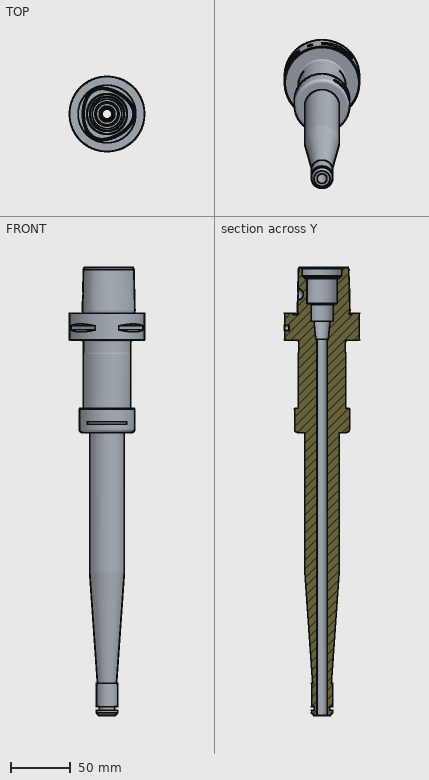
import cadquery as cq
import math

LENGTH = 374.0
SHANK_LENGTH = 38.0
FLANGE_TOP_Z = LENGTH - SHANK_LENGTH
FLANGE_BOTTOM_Z = FLANGE_TOP_Z - 23.0
BODY_STEP_Z = 302.0
COLLAR_TOP_Z = 256.5
COLLAR_BOTTOM_Z = 236.0
TAPER_TOP_Z = 120.0
TAPER_BOTTOM_Z = 27.0
TIP_GROOVE_TOP_Z = 7.5
TIP_GROOVE_BOTTOM_Z = 4.5

FLANGE_DIA = 63.0
BODY_DIA = 40.0
BODY_NECK_DIA = 39.5
COLLAR_DIA = 46.5
BAR_DIA = 29.0
TAPER_END_DIA = 16.0
TIP_DIA = 18.0
TIP_GROOVE_DIA = 13.0

FLANGE_CHAMFER = 0.7
NECK_FILLET = 1.0
BODY_STEP_HEIGHT = 1.0
COLLAR_FILLET = 3.0
COLLAR_CHAMFER = 0.7
TIP_CHAMFER = 2.2

SHANK_RADIUS = 22.0
LOBE_RISE = 1.4
LOBE_HALF_ANGLE = 20.0
SHANK_TAPER = 1 / 20
SHANK_CHAMFER_HEIGHT = 2.0
SHANK_CHAMFER_INSET = 0.7
NECK_HEIGHT = 2.5
NECK_INSET = 0.55
CURVE_STEPS = 12

RECESS_DIA = 48.2
RECESS_DEPTH = 1.0

MOUTH_DIA = 34.0
ENTRY_DIA = 33.0
SEAT_DIA = 29.0
LEDGE_DIA = 28.0
SOCKET_DIA = 24.5
THREAD_MOUTH_DIA = 20.2
THREAD_DIA = 18.0
PASSAGE_DIA = 13.0
PASSAGE_END_DIA = 10.0
COOLANT_DIA = 8.2
MOUTH_DEPTH = 1.0
ENTRY_DEPTH = 7.0
SEAT_DEPTH = 8.2
LEDGE_DEPTH = 9.5
SOCKET_DEPTH = 30.0
THREAD_DEPTH = 45.0
PASSAGE_DEPTH = 60.0

DIMPLE_DIA = 9.0
DIMPLE_Z = 351.5

NOTCH_Z = 323.5
NOTCH_COUNT = 4
NOTCH_FLOOR_DISTANCE = 28.0
NOTCH_FLOOR_HEIGHT = 3.5
NOTCH_MOUTH_HEIGHT = 6.7
PIN_HOLE_DIA = 4.0
PIN_HOLE_DEPTH = 3.7

COLLAR_GROOVE_Z = 244.2
COLLAR_GROOVE_HEIGHT = 2.2
COLLAR_GROOVE_DEPTH = 0.7
COLLAR_GROOVE_ANGLE = 90.0


def turned(points):
    """Revolve (radius, z) points about the tool axis."""
    return cq.Workplane("XZ").polyline(points).close().revolve(360, (0, 0, 0), (0, 1, 0))


def steps_to_points(steps):
    """Turn (diameter, z) steps into an outline closed on the tool axis."""
    first_z = steps[0][1]
    last_z = steps[-1][1]
    return [(0, first_z)] + [(dia / 2, z) for dia, z in steps] + [(0, last_z)]


def make_bar():
    """Flange, body, collar, tapered bar and grooved tip."""
    steps = [
        (TIP_DIA - 2 * TIP_CHAMFER, 0),
        (TIP_DIA, TIP_CHAMFER),
        (TIP_DIA, TIP_GROOVE_BOTTOM_Z),
        (TIP_GROOVE_DIA, TIP_GROOVE_BOTTOM_Z),
        (TIP_GROOVE_DIA, TIP_GROOVE_TOP_Z),
        (TIP_DIA, TIP_GROOVE_TOP_Z),
        (TIP_DIA, TAPER_BOTTOM_Z),
        (TAPER_END_DIA, TAPER_BOTTOM_Z),
        (BAR_DIA, TAPER_TOP_Z),
        (BAR_DIA, COLLAR_BOTTOM_Z),
        (COLLAR_DIA, COLLAR_BOTTOM_Z),
        (COLLAR_DIA, COLLAR_TOP_Z - COLLAR_CHAMFER),
        (COLLAR_DIA - 2 * COLLAR_CHAMFER, COLLAR_TOP_Z),
        (BODY_DIA, COLLAR_TOP_Z),
        (BODY_DIA, BODY_STEP_Z),
        (BODY_NECK_DIA, BODY_STEP_Z + BODY_STEP_HEIGHT),
        (BODY_NECK_DIA, FLANGE_BOTTOM_Z),
        (FLANGE_DIA - 2 * FLANGE_CHAMFER, FLANGE_BOTTOM_Z),
        (FLANGE_DIA, FLANGE_BOTTOM_Z + FLANGE_CHAMFER),
        (FLANGE_DIA, FLANGE_TOP_Z),
    ]
    bar = turned(steps_to_points(steps))
    bar = round_edge(bar, COLLAR_DIA, COLLAR_BOTTOM_Z, COLLAR_FILLET)
    return round_edge(bar, BODY_NECK_DIA, FLANGE_BOTTOM_Z, NECK_FILLET)


def round_edge(bar, dia, z, radius):
    """Fillet the turned edge of the given diameter at the given height."""
    margin = 0.2
    reach = dia / 2 + margin
    box = cq.selectors.BoxSelector((-reach, -reach, z - margin), (reach, reach, z + margin), boundingbox=True)
    return bar.edges(box).edges(cq.selectors.RadiusNthSelector(-1)).fillet(radius)


def shank_radius(z):
    """Mean radius of the tapered shank at the given height."""
    return SHANK_RADIUS - SHANK_TAPER / 2 * (z - FLANGE_TOP_Z)


def shank_outline(radius, z):
    """Closed three-lobed curve, split where the lobe faces meet the flats."""
    def point(degrees):
        angle = math.radians(degrees)
        x = radius * math.cos(angle) + LOBE_RISE * math.cos(2 * angle)
        y = radius * math.sin(angle) - LOBE_RISE * math.sin(2 * angle)
        return cq.Vector(x, y, z)

    edges = []
    for lobe in (0, 120, 240):
        corners = (lobe - LOBE_HALF_ANGLE, lobe + LOBE_HALF_ANGLE, lobe + 120 - LOBE_HALF_ANGLE)
        for start, end in zip(corners, corners[1:]):
            step = (end - start) / CURVE_STEPS
            edges.append(cq.Edge.makeSpline([point(start + i * step) for i in range(CURVE_STEPS + 1)]))
    return cq.Wire.assembleEdges(edges)


def make_shank():
    """Tapered lobed shank with a chamfered end and a slim neck at the flange."""
    neck_top = FLANGE_TOP_Z + NECK_HEIGHT
    chamfer_z = LENGTH - SHANK_CHAMFER_HEIGHT
    root_z = FLANGE_TOP_Z - RECESS_DEPTH
    sections = [
        (shank_radius(root_z) - NECK_INSET, root_z),
        (shank_radius(neck_top), neck_top),
        (shank_radius(chamfer_z), chamfer_z),
        (shank_radius(LENGTH) - SHANK_CHAMFER_INSET, LENGTH),
    ]
    wires = [shank_outline(radius, z) for radius, z in sections]
    return cq.Workplane(cq.Solid.makeLoft(wires, True))


def make_recess():
    floor = cq.Workplane(origin=(0, 0, FLANGE_TOP_Z - RECESS_DEPTH))
    return floor.circle(RECESS_DIA / 2).extrude(RECESS_DEPTH)


def make_bore():
    depth_steps = [
        (MOUTH_DIA, 0),
        (ENTRY_DIA, MOUTH_DEPTH),
        (ENTRY_DIA, ENTRY_DEPTH),
        (SEAT_DIA, SEAT_DEPTH),
        (LEDGE_DIA, LEDGE_DEPTH),
        (SOCKET_DIA, LEDGE_DEPTH),
        (SOCKET_DIA, SOCKET_DEPTH),
        (THREAD_MOUTH_DIA, SOCKET_DEPTH),
        (THREAD_DIA, SOCKET_DEPTH + (THREAD_MOUTH_DIA - THREAD_DIA) / 2),
        (THREAD_DIA, THREAD_DEPTH),
        (PASSAGE_DIA, THREAD_DEPTH),
        (PASSAGE_END_DIA, PASSAGE_DEPTH),
        (COOLANT_DIA, PASSAGE_DEPTH),
        (COOLANT_DIA, LENGTH),
    ]
    return turned(steps_to_points([(dia, LENGTH - depth) for dia, depth in depth_steps]))


def make_dimple():
    flat_x = LOBE_RISE - shank_radius(DIMPLE_Z)
    return cq.Workplane(origin=(flat_x, 0, DIMPLE_Z)).sphere(DIMPLE_DIA / 2)


def make_notches():
    """Straight V-sided notches across the flange rim, midway between the axes."""
    rim = FLANGE_DIA / 2
    profile = [
        (NOTCH_FLOOR_DISTANCE, -NOTCH_FLOOR_HEIGHT / 2),
        (rim, -NOTCH_MOUTH_HEIGHT / 2),
        (rim, NOTCH_MOUTH_HEIGHT / 2),
        (NOTCH_FLOOR_DISTANCE, NOTCH_FLOOR_HEIGHT / 2),
    ]
    notch = cq.Workplane("XZ").polyline(profile).close().extrude(rim, both=True)
    notch = notch.translate((0, 0, NOTCH_Z))
    pitch = 360 / NOTCH_COUNT
    notches = cq.Workplane()
    for i in range(NOTCH_COUNT):
        notches = notches.add(notch.rotate((0, 0, 0), (0, 0, 1), (i + 0.5) * pitch))
    return notches.combine()


def make_pin_hole():
    start = cq.Vector(-FLANGE_DIA / 2, 0, NOTCH_Z)
    return cq.Workplane(cq.Solid.makeCylinder(PIN_HOLE_DIA / 2, PIN_HOLE_DEPTH, start, cq.Vector(1, 0, 0)))


def make_collar_groove():
    outer = COLLAR_DIA / 2
    middle = outer - COLLAR_GROOVE_DEPTH / 2
    groove = (
        cq.Workplane("XZ")
        .center(middle, COLLAR_GROOVE_Z)
        .rect(COLLAR_GROOVE_DEPTH, COLLAR_GROOVE_HEIGHT)
        .revolve(COLLAR_GROOVE_ANGLE, (-middle, 0, 0), (-middle, 1, 0))
    )
    return groove.rotate((0, 0, 0), (0, 0, 1), -90 - COLLAR_GROOVE_ANGLE / 2)


result = make_bar().cut(make_recess()).union(make_shank())
for cutter in (make_bore(), make_dimple(), make_notches(), make_pin_hole(), make_collar_groove()):
    result = result.cut(cutter)